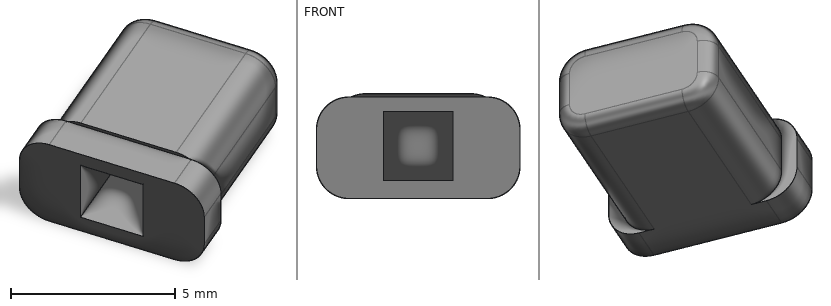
import cadquery as cq

total_length = 6.72
flange_width = 6.2
flange_height = 3.1
flange_thickness = 1.2
body_width = 5.2
body_height = 3.2
corner_radius = 1.0
end_radius = 0.5
socket_side = 2.1
socket_depth = 5.375


def rounded_bar(width, height, length):
    """Bar along +Y from the flange face, resting on Z = 0, with round long edges."""
    bar = cq.Workplane("XY").box(width, length, height, centered=(True, False, False))
    return bar.edges("|Y").fillet(corner_radius)


body = rounded_bar(body_width, body_height, total_length)
body = body.faces(">Y").edges().fillet(end_radius)

flange = rounded_bar(flange_width, flange_height, flange_thickness)
front_gap = cq.Workplane("XY").box(
    flange_width, flange_thickness, body_height, centered=(True, False, False)
)
body = body.cut(front_gap)

socket = (
    cq.Workplane("XY")
    .box(socket_side, socket_depth, socket_side, centered=(True, False, True))
    .translate((0, 0, body_height / 2))
)

result = body.union(flange).cut(socket)